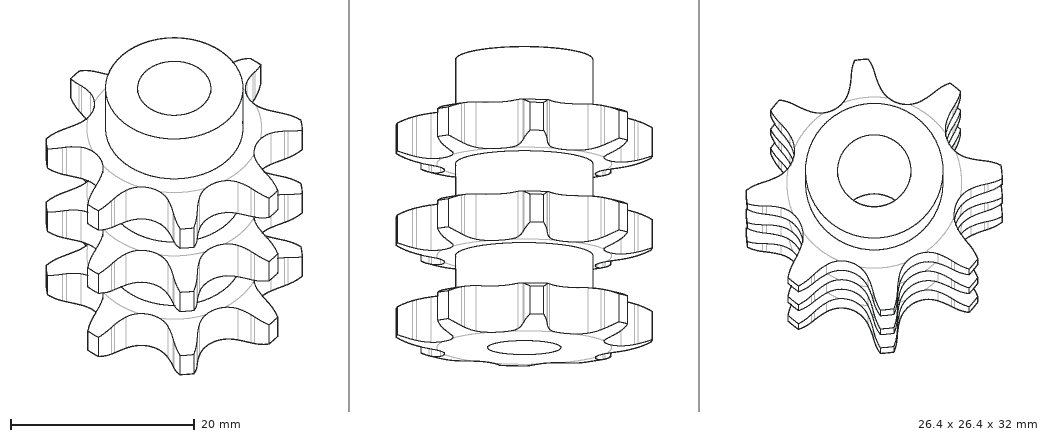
import cadquery as cq
import math


hub_height = 32.0
hub_diameter = 15.0
bore_diameter = 8.0

disc_count = 3
disc_spacing = 10.2
disc_thickness = 5.15
tip_diameter = 28.0
tip_radius = tip_diameter / 2
shoulder_radius = 9.55
tip_relief = 1.02

tooth_count = 8
chain_pitch = 9.55
roller_diameter = 6.35
seat_clearance = 0.04
cutter_overrun = 0.32

half_tooth_angle = math.pi / tooth_count
pitch_radius = chain_pitch / (2 * math.sin(half_tooth_angle))

seat_radius = 0.5025 * roller_diameter + seat_clearance
working_center_offset = 0.8 * roller_diameter
working_radius = seat_radius + working_center_offset
topping_center_offset = 1.4 * roller_diameter
seat_angle = math.radians(35 + 60 / tooth_count)
working_sweep = math.radians(18 - 56 / tooth_count)
topping_angle = math.radians(17 - 64 / tooth_count)
flank_angle = seat_angle - working_sweep
straight_length = (
    topping_center_offset * math.sin(topping_angle)
    - working_center_offset * math.sin(working_sweep)
)
topping_radius = (
    working_center_offset * math.cos(working_sweep)
    + topping_center_offset * math.cos(topping_angle)
    - working_radius
)


def polar(center, radius, angle):
    """Point at the given distance and angle (radians) from a center."""
    return (center[0] + radius * math.cos(angle), center[1] + radius * math.sin(angle))


def mirrored(point):
    return (-point[0], point[1])


def make_tooth_gap():
    """Cutter for the gap between two teeth, centered on +Y and open outwards."""
    roller_center = (0, pitch_radius)
    seat_bottom = (0, pitch_radius - seat_radius)
    seat_end = polar(roller_center, seat_radius, -seat_angle)

    working_center = polar(roller_center, -working_center_offset, -seat_angle)
    working_middle = polar(working_center, working_radius, -seat_angle + working_sweep / 2)
    working_end = polar(working_center, working_radius, -flank_angle)

    straight_end = polar(working_end, straight_length, math.pi / 2 - flank_angle)
    topping_center = polar(straight_end, topping_radius, -flank_angle)

    center_distance = math.hypot(*topping_center)
    angle_to_origin = math.atan2(-topping_center[1], -topping_center[0])
    corner_cosine = (
        (topping_radius**2 + center_distance**2 - tip_radius**2)
        / (2 * topping_radius * center_distance)
    )
    tip_angle = angle_to_origin - math.acos(corner_cosine)
    topping_start_angle = -math.pi - flank_angle
    topping_middle = polar(topping_center, topping_radius, (tip_angle + topping_start_angle) / 2)
    tip_corner = polar(topping_center, topping_radius, tip_angle)
    outside_corner = (tip_corner[0], tip_radius + cutter_overrun)

    return (
        cq.Workplane("XY")
        .moveTo(*mirrored(tip_corner))
        .threePointArc(mirrored(topping_middle), mirrored(straight_end))
        .lineTo(*mirrored(working_end))
        .threePointArc(mirrored(working_middle), mirrored(seat_end))
        .threePointArc(seat_bottom, seat_end)
        .threePointArc(working_middle, working_end)
        .lineTo(*straight_end)
        .threePointArc(topping_middle, tip_corner)
        .lineTo(*outside_corner)
        .lineTo(*mirrored(outside_corner))
        .close()
        .extrude(disc_thickness)
    )


def make_blank():
    """Disc whose faces curve towards each other from the shoulder to the tip circle."""
    flank_width = tip_radius - shoulder_radius
    flank_radius = (flank_width**2 + tip_relief**2) / (2 * tip_relief)
    middle_angle = math.asin(flank_width / flank_radius) / 2
    middle_radius = shoulder_radius + flank_radius * math.sin(middle_angle)
    middle_relief = flank_radius * (1 - math.cos(middle_angle))
    return (
        cq.Workplane("XZ")
        .lineTo(shoulder_radius, 0)
        .threePointArc((middle_radius, middle_relief), (tip_radius, tip_relief))
        .lineTo(tip_radius, disc_thickness - tip_relief)
        .threePointArc(
            (middle_radius, disc_thickness - middle_relief),
            (shoulder_radius, disc_thickness),
        )
        .lineTo(0, disc_thickness)
        .close()
        .revolve(360, (0, 0, 0), (0, 1, 0))
    )


def make_toothed_disc():
    disc = make_blank()
    gap = make_tooth_gap()
    for index in range(tooth_count):
        disc = disc.cut(gap.rotate((0, 0, 0), (0, 0, 1), index * 360 / tooth_count))
    return disc


result = cq.Workplane("XY").circle(hub_diameter / 2).extrude(hub_height)
toothed_disc = make_toothed_disc()
for index in range(disc_count):
    result = result.union(toothed_disc.translate((0, 0, index * disc_spacing)))

bore = cq.Workplane("XY").circle(bore_diameter / 2).extrude(hub_height)
result = result.cut(bore)